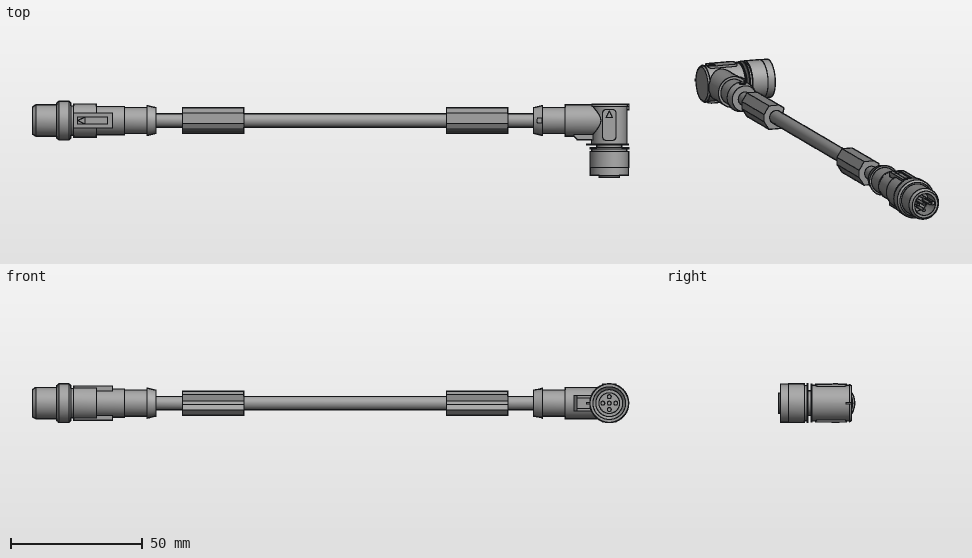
import cadquery as cq
import math


AXIS_X = cq.Vector(1, 0, 0)
AXIS_NEG_Y = cq.Vector(0, -1, 0)

total_length = 226.05
cable_radius = 2.6

thread_radius = 6.0
thread_end = 9.2
tip_radius = 5.2
tip_length = 1.3
ring_start = 9.2
ring_end = 14.6
ring_radius = 7.4
ring_chamfer = 0.8
grip_neck_radius = 5.6
grip_start = 15.6
grip_step = 24.2
grip_end = 34.9
grip_radius = 6.35
grip_rear_radius = 5.4
plug_bore_radius = 4.2
plug_bore_depth = 8.0
key_width = 1.2
key_depth = 0.9

contact_circle_radius = 2.45
contact_radius = 0.5
contact_setback = 1.0
contact_angles = [0, 90, 180, 270]

pad_length = 14.8
pad_width = 5.6
pad_half_height = 6.5
pad_pocket_length = 11.4
pad_pocket_width = 2.6
pad_pocket_margin = 1.4
pad_pocket_depth = 0.5
arrow_length = 3.0
arrow_depth = 0.4

relief_radius = 5.0
relief_tip_radius = 4.9
relief_collar_radius = 5.75
relief_collar_length = 3.5
relief_length = 12.0
window_offset = 1.3
window_size = 2.0
window_floor = 5.2

marker_length = 23.3
marker_starts = [56.8, 156.8]
marker_half_width = 4.85
marker_half_height = 4.6
marker_side_half = 1.4
marker_flat = 2.8
marker_bottom_front = 2.6
lip_top_y = -1.2
lip_edge = (-3.3, 3.3)
notch_apex = (-2.75, 0.9)
notch_lower_edge = (-4.0, -0.5)

elbow_x = 218.55
elbow_arm_start = 201.8
elbow_arm_radius = 6.0
elbow_radius = 6.8
elbow_top_y = 5.4
cap_radius = 7.1
cap_top_radius = 6.5
cap_thickness = 0.8
cap_y = elbow_top_y + cap_thickness
elbow_bottom_y = -8.8
flange_radius = 7.2
flange_bottom_y = -9.2
socket_neck_radius = 4.75
nut_top_y = -10.3
nut_bottom_y = -20.8
nut_radius = 7.4
nut_groove_y = -10.7
nut_body_y = -11.7
nut_groove_radius = 6.7
nut_step_y = -17.8
nut_rear_radius = 7.3
nut_mouth_radius = 6.2
nut_bore_radius = 5.1
nut_mouth_depth = 1.2
nut_bore_depth = 8.0
insert_radius = 3.9
insert_end_y = -21.5
socket_hole_radius = 0.75
socket_hole_depth = 6.0

elbow_pad_width = 5.0
elbow_pad_top_y = 4.2
elbow_pad_bottom_y = -7.5
elbow_pad_half_height = 7.2
elbow_pad_corner = 1.25
elbow_arrow_top_y = 3.6
elbow_arrow_length = 2.4
elbow_arrow_width = 2.4
block_start = 205.2
block_width = 5.8
block_bottom_y = -7.3
block_slope_length = 1.2
block_frame = 0.9
block_pocket_depth = 0.8
nub_width = 0.6
cap_nub_height = 2.2
flange_nub_reach = 8.6


def cone(origin, axis, length, radius, end_radius=None):
    """Cylinder, or truncated cone, from origin along axis."""
    if end_radius is None:
        solid = cq.Solid.makeCylinder(radius, length, origin, axis)
    else:
        solid = cq.Solid.makeCone(radius, end_radius, length, origin, axis)
    return cq.Workplane(obj=solid)


def along_cable(start, end, radius, end_radius=None):
    """Round section on the cable axis between two x stations."""
    return cone(cq.Vector(start, 0, 0), AXIS_X, end - start, radius, end_radius)


def along_socket(top, bottom, radius, end_radius=None):
    """Round section on the socket axis between two y stations, going toward -Y."""
    return cone(cq.Vector(elbow_x, top, 0), AXIS_NEG_Y, top - bottom, radius, end_radius)


def box(x_range, y_range, z_range):
    size = [high - low for low, high in (x_range, y_range, z_range)]
    corner = (x_range[0], y_range[0], z_range[0])
    return cq.Workplane("XY").box(*size, centered=False).translate(corner)


def contact_offsets():
    """Centre contact plus four on the contact circle, as two offsets across the axis."""
    offsets = [(0.0, 0.0)]
    for angle in contact_angles:
        a = math.radians(angle)
        offsets.append((contact_circle_radius * math.cos(a), contact_circle_radius * math.sin(a)))
    return offsets


def both_sides(solid):
    """The feature on the +Z side together with its mirror image on the -Z side."""
    return solid.union(solid.mirror("XY"))


def plug_shell():
    front = along_cable(0, tip_length, tip_radius, thread_radius)
    thread = along_cable(tip_length, thread_end, thread_radius)
    ring = along_cable(ring_start, ring_end, ring_radius).edges().chamfer(ring_chamfer)
    neck = along_cable(ring_end, grip_start, grip_neck_radius)
    grip = along_cable(grip_start, grip_step, grip_radius)
    rear = along_cable(grip_step, grip_end, grip_rear_radius)
    return front.union(thread).union(ring).union(neck).union(grip).union(rear)


def plug_face():
    """Bore of the plug with its key and pins: returns (cut, added)."""
    bore = along_cable(0, plug_bore_depth, plug_bore_radius)
    key = box(
        (contact_setback, plug_bore_depth),
        (-plug_bore_radius - key_depth, -plug_bore_radius + key_depth),
        (-key_width / 2, key_width / 2),
    )
    added = key
    for y, z in contact_offsets():
        origin = cq.Vector(contact_setback, y, z)
        added = added.union(cone(origin, AXIS_X, plug_bore_depth, contact_radius))
    return bore, added


def plug_label_pad():
    pad = box(
        (grip_start, grip_start + pad_length),
        (-pad_width / 2, pad_width / 2),
        (0, pad_half_height),
    )
    return both_sides(pad)


def plug_label_pocket():
    start = grip_start + pad_pocket_margin
    floor = pad_half_height - pad_pocket_depth
    y_range = (-pad_pocket_width / 2, pad_pocket_width / 2)
    pocket = box((start, start + pad_pocket_length), y_range, (floor, pad_half_height))
    arrow = (
        cq.Workplane("XY", origin=(0, 0, floor - arrow_depth))
        .polyline([(start, 0), (start + arrow_length, y_range[1]), (start + arrow_length, y_range[0])])
        .close()
        .extrude(arrow_depth)
    )
    return both_sides(pocket.union(arrow))


def strain_relief(end, direction):
    """Strain relief with its cable end at x = end and its body toward direction (+1 or -1)."""
    axis = AXIS_X * direction
    origin = cq.Vector(end, 0, 0)
    body = cone(origin, axis, relief_length, relief_radius)
    collar = cone(origin, axis, relief_collar_length, relief_tip_radius, relief_collar_radius)
    return body.union(collar)


def relief_windows(end):
    """Square recesses in the collar of the socket strain relief."""
    start = end + window_offset
    y_range = (-window_size / 2, window_size / 2)
    window = box((start, start + window_size), y_range, (window_floor, relief_collar_radius))
    return both_sides(window)


def marker_carrier(start):
    """Faceted clip around the cable with a V notch along its -Y side."""
    w = marker_half_width
    h = marker_half_height
    section = [
        (w, marker_side_half),
        (marker_flat, h),
        (lip_top_y, h),
        lip_edge,
        notch_apex,
        notch_lower_edge,
        (-w, -marker_bottom_front),
        (-marker_bottom_front, -h),
        (marker_flat, -h),
        (w, -marker_side_half),
    ]
    return cq.Workplane("YZ", origin=(start, 0, 0)).polyline(section).close().extrude(marker_length)


def elbow_body():
    arm = along_cable(elbow_arm_start, elbow_x, elbow_arm_radius)
    body = along_socket(elbow_top_y, elbow_bottom_y, elbow_radius)
    cap = along_socket(cap_y, elbow_top_y, cap_top_radius, cap_radius)
    flange = along_socket(elbow_bottom_y, flange_bottom_y, flange_radius)
    neck = along_socket(flange_bottom_y, nut_top_y, socket_neck_radius)
    return arm.union(body).union(cap).union(flange).union(neck)


def elbow_nubs():
    """Pointer on the far side of the cap, ending the part, and one on the cable side of the flange."""
    z_range = (-nub_width / 2, nub_width / 2)
    cap_nub = box((elbow_x, total_length), (cap_y - cap_nub_height, cap_y), z_range)
    flange_nub = box((elbow_x - flange_nub_reach, elbow_x), (flange_bottom_y, elbow_bottom_y), z_range)
    return cap_nub.union(flange_nub)


def elbow_label_pad():
    length = elbow_pad_top_y - elbow_pad_bottom_y
    middle = (elbow_pad_top_y + elbow_pad_bottom_y) / 2
    pad = (
        cq.Workplane("XY", origin=(elbow_x, middle, 0))
        .rect(elbow_pad_width, length)
        .extrude(elbow_pad_half_height)
        .edges("|Z")
        .fillet(elbow_pad_corner)
    )
    return both_sides(pad)


def elbow_arrow():
    tip_y = elbow_arrow_top_y
    base_y = tip_y - elbow_arrow_length
    half = elbow_arrow_width / 2
    arrow = (
        cq.Workplane("XY", origin=(elbow_x, 0, elbow_pad_half_height - arrow_depth))
        .polyline([(0, tip_y), (half, base_y), (-half, base_y)])
        .close()
        .extrude(arrow_depth)
    )
    return both_sides(arrow)


def elbow_block():
    """Label block in the inner corner of the elbow, with a shallow framed pocket."""
    outline = [
        (block_start, 0),
        (block_start, -elbow_arm_radius),
        (block_start + block_slope_length, block_bottom_y),
        (elbow_x, block_bottom_y),
        (elbow_x, 0),
    ]
    block = cq.Workplane("XY").polyline(outline).close().extrude(block_width / 2, both=True)
    half_pocket = block_width / 2 - block_frame
    pocket = box(
        (block_start + block_slope_length, elbow_x - elbow_radius),
        (block_bottom_y, block_bottom_y + block_pocket_depth),
        (-half_pocket, half_pocket),
    )
    return block.cut(pocket)


def socket_nut():
    ring = along_socket(nut_top_y, nut_groove_y, nut_radius)
    groove = along_socket(nut_groove_y, nut_body_y, nut_groove_radius)
    body = along_socket(nut_body_y, nut_step_y, nut_radius)
    rear = along_socket(nut_step_y, nut_bottom_y, nut_rear_radius)
    bore = along_socket(nut_bottom_y + nut_bore_depth, nut_bottom_y, nut_bore_radius)
    mouth = along_socket(nut_bottom_y + nut_mouth_depth, nut_bottom_y, nut_bore_radius, nut_mouth_radius)
    return ring.union(groove).union(body).union(rear).cut(bore).cut(mouth)


def socket_insert():
    insert = along_socket(nut_top_y, insert_end_y, insert_radius)
    for x, z in contact_offsets():
        origin = cq.Vector(elbow_x + x, insert_end_y + socket_hole_depth, z)
        insert = insert.cut(cone(origin, AXIS_NEG_Y, socket_hole_depth, socket_hole_radius))
    return insert


plug_bore, plug_contacts = plug_face()
plug = plug_shell().cut(plug_bore).union(plug_contacts)
plug = plug.union(plug_label_pad()).cut(plug_label_pocket())
plug = plug.union(strain_relief(grip_end + relief_length, -1))

socket = elbow_body().union(elbow_block()).union(elbow_nubs())
socket = socket.union(elbow_label_pad()).cut(elbow_arrow())
socket = socket.union(socket_nut()).union(socket_insert())
relief_end = elbow_arm_start - relief_length
socket = socket.union(strain_relief(relief_end, 1)).cut(relief_windows(relief_end))

result = along_cable(grip_end, elbow_arm_start, cable_radius).union(plug).union(socket)
for marker_start in marker_starts:
    result = result.union(marker_carrier(marker_start))